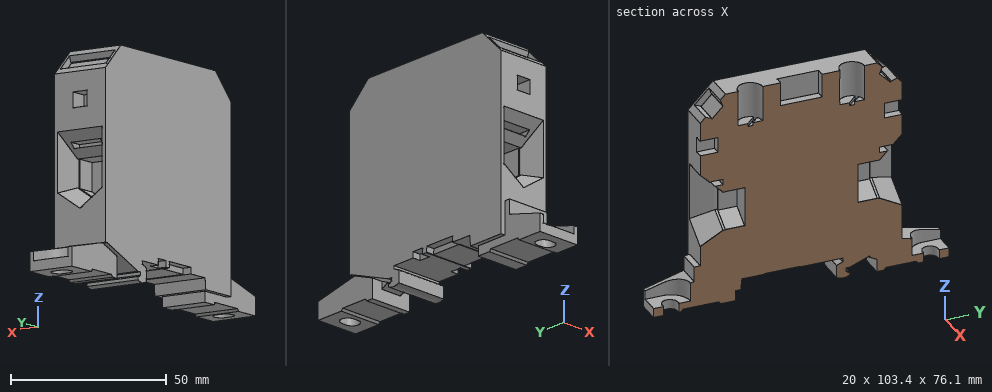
import cadquery as cq


body_width = 20.0
body_half_length = 35.4
body_height = 76.1
corner_chamfer = 8.8
slope_top_z = 10.2
rail_seat_z = 7.4
front_skirt_z = 3.6
front_skirt_foot_y = -21.1
slope_start_y = 34.3

rail_front_y = -20.7
rail_rear_y = 14.5
hook_front_y = 12.3
hook_lip_z = 5.4
hook_root_z = 6.3
hook_neck_y = 15.7
hook_neck_z = 2.6
hook_toe_y = 17.1
hook_toe_top_z = 1.9
hook_toe_bevel = (0.7, 0.2)
hook_corner_z = 0.8
hook_bottom_z = 0.2

label_width = 17.8
label_length = 7.2
label_depth = 2.4
label_rim_height = 0.4
label_taper = 0.9

screw_y = 17.8
screw_radius = 4.2
screw_well_depth = 12.4
screw_slot_width = 1.1
screw_slot_depth = 1.0
screw_slot_angle = -45
window_size = (5.5, 14.5)
window_depth = 8.3

socket_width = 5.5
socket_height = 5.2
socket_center_z = 58.1
socket_depth = 6.2

mouth_half_width = 8.7
mouth_top_z = 48.3
mouth_shoulder_z = 28.3
throat_half_width = 6.4
throat_top_z = 40.4
throat_shoulder_z = 31.0
collar_depth = 0.8
bore_side_step = 0.4
bore_tip_step = 0.1
throat_depth = 8.0
wire_bore_depth = 15.5
point_slope = 0.68
slit_width = 11.4
slit_height = 1.8
slit_bottom_z = 43.3

foot_width = 16.6
foot_half_span = 51.7
front_foot_tip_z = 6.4
rear_foot_tip_z = 6.6
front_foot_inner_y = -23.0
rear_foot_inner_y = 26.4
riser_y = -37.5
riser_top_z = 15.5
sole_relief = 0.8
front_groove = (-42.0, -28.1)
rear_groove = (29.0, 40.8)
relief_bevel = 0.7
foot_hole_y = 45.5
foot_hole_length = 7.2
foot_hole_width = 5.4
foot_pocket_radius = 6.7
foot_pocket_floor_z = 3.4

recess_top_z = 9.6
recess_depth = 3.1
short_recess = (1.3, 5.6)
long_recess_front_y = -12.7
long_recess_rear_y = -0.5
long_recess_lean = 0.3
rail_relief = 0.2

gusset_width = 8.3
gusset_tip_y = 23.9
gusset_tip_z = 5.8
gusset_root_z = 4.4


def side_prism(outline, width):
    """Extrude a closed (Y, Z) outline to a width centred on X = 0."""
    return cq.Workplane("YZ").polyline(outline).close().extrude(width / 2, both=True)


def box_between(x_range, y_range, z_range):
    """Axis-aligned box given by its limits."""
    sizes = [high - low for low, high in (x_range, y_range, z_range)]
    corner = (x_range[0], y_range[0], z_range[0])
    return cq.Workplane("XY").box(*sizes, centered=False).translate(corner)


def at_both_ends(tool):
    """A tool for the -Y end together with its mirror image at the +Y end."""
    return tool.union(tool.mirror("XZ"))


def housing():
    """Housing profile with sloped top corners, rail seat and rail hook."""
    chamfer_z = body_height - corner_chamfer
    chamfer_y = body_half_length - corner_chamfer
    hook_middle_y = (hook_toe_y + hook_front_y) / 2
    bevel_run, bevel_rise = hook_toe_bevel
    return (
        cq.Workplane("YZ")
        .moveTo(-body_half_length, front_skirt_z)
        .lineTo(-body_half_length, chamfer_z)
        .lineTo(-chamfer_y, body_height)
        .lineTo(chamfer_y, body_height)
        .lineTo(body_half_length, chamfer_z)
        .lineTo(body_half_length, slope_top_z)
        .lineTo(slope_start_y, slope_top_z)
        .lineTo(hook_toe_y, front_skirt_z)
        .lineTo(hook_neck_y, front_skirt_z)
        .lineTo(hook_neck_y, hook_neck_z)
        .lineTo(hook_toe_y - bevel_run, hook_toe_top_z + bevel_rise)
        .lineTo(hook_toe_y, hook_toe_top_z)
        .lineTo(hook_toe_y, hook_corner_z)
        .threePointArc((hook_middle_y, hook_bottom_z), (hook_front_y, hook_corner_z))
        .lineTo(hook_front_y, hook_lip_z)
        .lineTo(rail_rear_y, hook_root_z)
        .lineTo(rail_rear_y, rail_seat_z)
        .lineTo(rail_front_y, rail_seat_z)
        .lineTo(front_skirt_foot_y, front_skirt_z)
        .close()
        .extrude(body_width / 2, both=True)
    )


def label_recess():
    """Recess in the sloped front corner, its two long walls leaning inward above a straight rim."""
    middle = cq.Vector(0, -body_half_length + corner_chamfer / 2, body_height - corner_chamfer / 2)
    slope = cq.Plane(origin=middle, xDir=(1, 0, 0), normal=(0, -1, 1))
    floor_rim = (
        cq.Workplane(slope)
        .workplane(offset=-label_depth)
        .rect(label_width, label_length - 2 * label_taper)
        .extrude(label_rim_height)
    )
    return (
        cq.Workplane(slope)
        .rect(label_width, label_length)
        .workplane(offset=label_rim_height - label_depth)
        .rect(label_width, label_length - 2 * label_taper)
        .loft(ruled=True)
        .union(floor_rim)
    )


def screw_well():
    """Round well in the top face with a slotted screw head at its bottom."""
    floor_z = body_height - screw_well_depth
    well = cq.Workplane("XY", origin=(0, -screw_y, floor_z)).circle(screw_radius).extrude(screw_well_depth)
    slot = (
        cq.Workplane("XY", origin=(0, -screw_y, floor_z))
        .transformed(rotate=(0, 0, screw_slot_angle))
        .rect(2 * screw_radius, screw_slot_width)
        .extrude(-screw_slot_depth)
        .intersect(well.translate((0, 0, -screw_slot_depth)))
    )
    return well.union(slot)


def pentagon(half_width, top_z, shoulder_z):
    """(X, Z) corners of a rectangle that ends in a downward point."""
    return [
        (-half_width, top_z),
        (half_width, top_z),
        (half_width, shoulder_z),
        (0, shoulder_z - point_slope * half_width),
        (-half_width, shoulder_z),
    ]


def wire_entry():
    """Tapered mouth, short collar, straight bore and the slit in the mouth's sloped roof."""
    throat_y = -body_half_length + throat_depth
    throat = pentagon(throat_half_width, throat_top_z, throat_shoulder_z)
    bore_shoulder_z = throat_shoulder_z - point_slope * bore_side_step + bore_tip_step
    bore_outline = pentagon(throat_half_width - bore_side_step, throat_top_z, bore_shoulder_z)
    mouth = (
        cq.Workplane("XZ", origin=(0, -body_half_length, 0))
        .polyline(pentagon(mouth_half_width, mouth_top_z, mouth_shoulder_z))
        .close()
        .workplane(offset=-throat_depth)
        .polyline(throat)
        .close()
        .loft(ruled=True)
    )
    throat_plane = cq.Workplane("XZ", origin=(0, throat_y, 0))
    collar = throat_plane.polyline(throat).close().extrude(-collar_depth)
    bore = throat_plane.polyline(bore_outline).close().extrude(throat_depth - wire_bore_depth)
    roof_run = throat_depth / (mouth_top_z - throat_top_z)
    slit_start_y = -body_half_length + roof_run * (mouth_top_z - slit_bottom_z - slit_height)
    slit = box_between(
        (-slit_width / 2, slit_width / 2),
        (slit_start_y, throat_y),
        (slit_bottom_z, slit_bottom_z + slit_height),
    )
    return mouth.union(collar).union(bore).union(slit)


def test_socket():
    """Square blind hole in the front end face."""
    return box_between(
        (-socket_width / 2, socket_width / 2),
        (-body_half_length, -body_half_length + socket_depth),
        (socket_center_z - socket_height / 2, socket_center_z + socket_height / 2),
    )


def test_window():
    """Rectangular blind window in the middle of the top face."""
    return cq.Workplane("XY", origin=(0, 0, body_height)).rect(*window_size).extrude(-window_depth)


def flank_recesses():
    """Two recesses in each flank and the shallow relief across the rail seat."""
    short_front, short_rear = short_recess
    short_outline = [
        (short_front, rail_seat_z),
        (short_rear, rail_seat_z),
        (short_rear, recess_top_z),
        (short_front, recess_top_z),
    ]
    long_outline = [
        (long_recess_front_y, rail_seat_z),
        (long_recess_rear_y, rail_seat_z),
        (long_recess_rear_y - long_recess_lean, recess_top_z),
        (long_recess_front_y, recess_top_z),
    ]
    core = cq.Workplane("XY").box(body_width - 2 * recess_depth, 2 * body_half_length, body_height)
    recesses = side_prism(short_outline, body_width).union(side_prism(long_outline, body_width)).cut(core)
    relief = box_between(
        (-body_width / 2, body_width / 2),
        (long_recess_front_y, long_recess_rear_y),
        (rail_seat_z, rail_seat_z + rail_relief),
    )
    return recesses.union(relief)


def front_foot():
    """Front foot with a riser against the housing's end face."""
    outline = [
        (front_foot_inner_y, 0),
        (front_foot_inner_y, riser_top_z),
        (riser_y, riser_top_z),
        (riser_y, slope_top_z),
        (-foot_half_span, front_foot_tip_z),
        (-foot_half_span, 0),
    ]
    return side_prism(outline, foot_width)


def rear_foot():
    """Rear foot sloping straight up to the housing, with a gusset under the slope."""
    outline = [
        (rear_foot_inner_y, 0),
        (foot_half_span, 0),
        (foot_half_span, rear_foot_tip_z),
        (body_half_length, slope_top_z),
        (rear_foot_inner_y, slope_top_z),
    ]
    gusset = [
        (rear_foot_inner_y, gusset_root_z),
        (gusset_tip_y, gusset_tip_z),
        (gusset_tip_y, slope_top_z),
        (rear_foot_inner_y, slope_top_z),
    ]
    return side_prism(outline, foot_width).union(side_prism(gusset, gusset_width))


def sole_groove(front_y, rear_y):
    """Bevelled cross groove in the sole of a foot."""
    outline = [
        (front_y, 0),
        (front_y + relief_bevel, sole_relief),
        (rear_y - relief_bevel, sole_relief),
        (rear_y, 0),
    ]
    return side_prism(outline, foot_width)


def foot_fastening():
    """Round-ended pocket open at the front foot's tip, with an oblong through hole."""
    pocket_height = slope_top_z - foot_pocket_floor_z
    pocket = (
        cq.Workplane("XY", origin=(0, -foot_hole_y, foot_pocket_floor_z))
        .circle(foot_pocket_radius)
        .extrude(pocket_height)
    )
    mouth = box_between(
        (-foot_pocket_radius, foot_pocket_radius),
        (-foot_half_span, -foot_hole_y),
        (foot_pocket_floor_z, slope_top_z),
    )
    hole = (
        cq.Workplane("XY", origin=(0, -foot_hole_y, 0))
        .slot2D(foot_hole_length, foot_hole_width)
        .extrude(foot_pocket_floor_z)
    )
    return pocket.union(mouth).union(hole)


feet = (
    front_foot()
    .union(rear_foot())
    .cut(sole_groove(*front_groove))
    .cut(sole_groove(*rear_groove))
    .cut(at_both_ends(foot_fastening()))
)

result = housing().cut(flank_recesses()).union(feet)
for end_feature in (label_recess(), wire_entry(), test_socket()):
    result = result.cut(at_both_ends(end_feature))
for shift in (0, 2 * screw_y):
    result = result.cut(screw_well().translate((0, shift, 0)))
result = result.cut(test_window())